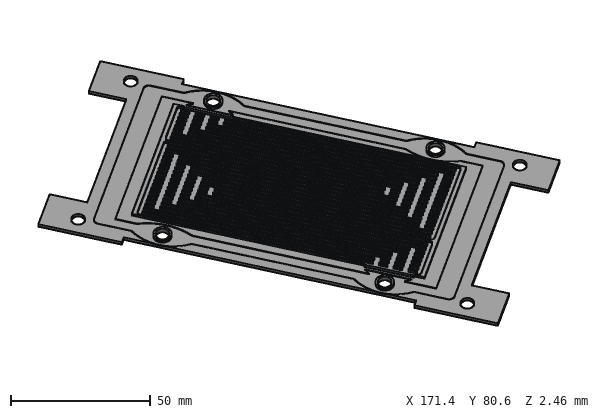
import cadquery as cq

PLATE_LENGTH = 171.36
PLATE_WIDTH = 80.64
TOTAL_HEIGHT = 2.46
BASE_THICKNESS = 1.48

END_NOTCH_HALF_WIDTH = 25.5
END_NOTCH_X = 71.68
SIDE_STEP_X = 54.5
SIDE_STEP_Y = 37.9
TAB_HOLE_DIAMETER = 5.04
TAB_HOLE_X = 72.55
TAB_HOLE_Y = 34.16

PORT_X = 41.44
PORT_Y = 33.04
PORT_DIAMETER = 5.04
COLLAR_DIAMETER = 6.72
COLLAR_TOP = 2.0

GROOVE_DEPTH = 0.4
GROOVE_FLOOR = BASE_THICKNESS - GROOVE_DEPTH
GROOVE_OUTER_X = 67.2
GROOVE_OUTER_Y = 34.16
GROOVE_INNER_X = 59.84
GROOVE_INNER_Y = 30.3
GROOVE_CORNER_RADIUS = 2.0
EYE_OUTER_HEIGHT = 4.8
EYE_INNER_HEIGHT = 5.0
EYE_OUTER_HALF_CHORD = 11.2
EYE_INNER_HALF_CHORD = 10.35

POCKET_NEAR_HALF_WIDTH = 6.6
POCKET_FAR_HALF_WIDTH = 8.75
POCKET_FAR_Y = 28.7
SLOT_HALF_LENGTH = 9.25
SLOT_OUTER_Y = 27.6

FIELD_LENGTH = 109.2
FIELD_WIDTH = 54.4
BASIN_LENGTH = 105.8
BASIN_WIDTH = 53.3
BASIN_CORNER_RADIUS = 1.0

RIB_COUNT = 27
RIB_PITCH = 1.944
RIB_WIDTH = 0.76
RIB_END_X = 51.22
LAST_RIB = RIB_COUNT - 1
FIRST_SEPARATOR = 8
SECOND_SEPARATOR = LAST_RIB - FIRST_SEPARATOR

BAR_LENGTH = 3.2
BAR_PITCH = 5.47
RIBS_PER_BAR_STEP = 2


def box(x_min, x_max, y_min, y_max, z_min, z_max):
    """Axis-aligned block between the given limits."""
    size = (x_max - x_min, y_max - y_min, z_max - z_min)
    return cq.Workplane("XY").box(*size, centered=False).translate((x_min, y_min, z_min))


def centred_block(length, width, z_min, z_max):
    """Block centred on the Z axis between two heights."""
    return box(-length / 2, length / 2, -width / 2, width / 2, z_min, z_max)


def four_cylinders(x, y, diameter, z_min, z_max):
    """Upright cylinders at the four points (+-x, +-y)."""
    return (
        cq.Workplane("XY", origin=(0, 0, z_min))
        .rect(2 * x, 2 * y, forConstruction=True)
        .vertices()
        .circle(diameter / 2)
        .extrude(z_max - z_min)
    )


def with_half_turn_copy(feature):
    """The feature together with its copy turned half a turn about Z."""
    return feature.union(feature.rotate((0, 0, 0), (0, 0, 1), 180))


def base_plate():
    """Flat plate with a tab at each corner and a hole in each tab."""
    end_notch = box(
        END_NOTCH_X, PLATE_LENGTH / 2, -END_NOTCH_HALF_WIDTH, END_NOTCH_HALF_WIDTH, 0, BASE_THICKNESS
    )
    side_step = box(-SIDE_STEP_X, SIDE_STEP_X, SIDE_STEP_Y, PLATE_WIDTH / 2, 0, BASE_THICKNESS)
    blank = centred_block(PLATE_LENGTH, PLATE_WIDTH, 0, BASE_THICKNESS)
    blank = blank.cut(with_half_turn_copy(end_notch)).cut(with_half_turn_copy(side_step))
    return blank.cut(four_cylinders(TAB_HOLE_X, TAB_HOLE_Y, TAB_HOLE_DIAMETER, 0, BASE_THICKNESS))


def eye_segment(port_x, chord_y, half_chord, apex_y):
    """Groove area between a chord parallel to X and the arc bulging from it to apex_y."""
    return (
        cq.Workplane("XY", origin=(port_x, 0, GROOVE_FLOOR))
        .moveTo(-half_chord, chord_y)
        .threePointArc((0, apex_y), (half_chord, chord_y))
        .close()
        .extrude(GROOVE_DEPTH)
    )


def feed_pocket():
    """Dovetail pocket leading from the -X, +Y port towards the slot."""
    return (
        cq.Workplane("XY", origin=(-PORT_X, 0, GROOVE_FLOOR))
        .moveTo(-POCKET_NEAR_HALF_WIDTH, GROOVE_INNER_Y)
        .lineTo(POCKET_NEAR_HALF_WIDTH, GROOVE_INNER_Y)
        .lineTo(POCKET_FAR_HALF_WIDTH, POCKET_FAR_Y)
        .lineTo(-POCKET_FAR_HALF_WIDTH, POCKET_FAR_Y)
        .close()
        .extrude(GROOVE_DEPTH)
    )


def feed_slot():
    """Through slot between the -X, +Y port and the flow basin."""
    x_min = -PORT_X - SLOT_HALF_LENGTH
    x_max = -PORT_X + SLOT_HALF_LENGTH
    return box(x_min, x_max, BASIN_WIDTH / 2, SLOT_OUTER_Y, 0, TOTAL_HEIGHT)


def gasket_groove():
    """Cutter for the gasket groove with its eyes and feed pockets."""
    island = centred_block(2 * GROOVE_INNER_X, 2 * GROOVE_INNER_Y, GROOVE_FLOOR, BASE_THICKNESS)
    groove = centred_block(2 * GROOVE_OUTER_X, 2 * GROOVE_OUTER_Y, GROOVE_FLOOR, BASE_THICKNESS)
    groove = groove.edges("|Z").fillet(GROOVE_CORNER_RADIUS).cut(island)
    for port_x in (-PORT_X, PORT_X):
        outer_eye = eye_segment(port_x, GROOVE_OUTER_Y, EYE_OUTER_HALF_CHORD, PORT_Y + EYE_OUTER_HEIGHT)
        groove = groove.union(with_half_turn_copy(outer_eye))
    inner_eye = eye_segment(PORT_X, GROOVE_INNER_Y, EYE_INNER_HALF_CHORD, PORT_Y - EYE_INNER_HEIGHT)
    groove = groove.union(with_half_turn_copy(inner_eye))
    return groove.union(with_half_turn_copy(feed_pocket()))


def rib_y(rib):
    """Y of a rib's centre line."""
    return (LAST_RIB / 2 - rib) * RIB_PITCH


def rib_piece(rib, x_min, x_max):
    """Straight piece of a rib, as a solid."""
    y_min = rib_y(rib) - RIB_WIDTH / 2
    return box(x_min, x_max, y_min, y_min + RIB_WIDTH, BASE_THICKNESS, TOTAL_HEIGHT).val()


def left_bar_count(rib):
    """Number of short bars at the -X end of a rib; it steps up towards the middle of a turn."""
    if rib < FIRST_SEPARATOR:
        ribs_to_turn_end = FIRST_SEPARATOR - 1 - rib
    else:
        ribs_to_turn_end = min(rib - FIRST_SEPARATOR - 1, LAST_RIB - rib)
    return max(ribs_to_turn_end, 0) // RIBS_PER_BAR_STEP


def flow_ribs():
    """All ribs, with their short bars at both ends, as one compound."""
    pieces = []
    for rib in range(RIB_COUNT):
        left_bars = left_bar_count(rib)
        right_bars = left_bar_count(LAST_RIB - rib)
        for bar in range(left_bars):
            bar_start = -RIB_END_X + bar * BAR_PITCH
            pieces.append(rib_piece(rib, bar_start, bar_start + BAR_LENGTH))
        for bar in range(right_bars):
            bar_end = RIB_END_X - bar * BAR_PITCH
            pieces.append(rib_piece(rib, bar_end - BAR_LENGTH, bar_end))
        x_min = -RIB_END_X + left_bars * BAR_PITCH
        x_max = RIB_END_X - right_bars * BAR_PITCH
        if rib == FIRST_SEPARATOR:
            x_min = -BASIN_LENGTH / 2
        if rib == SECOND_SEPARATOR:
            x_max = BASIN_LENGTH / 2
        pieces.append(rib_piece(rib, x_min, x_max))
    return cq.Workplane(cq.Compound.makeCompound(pieces))


def basin_zone(x_min, x_max, y_min, y_max):
    """Sunken area with rounded corners."""
    zone = box(x_min, x_max, y_min, y_max, BASE_THICKNESS, TOTAL_HEIGHT)
    return zone.edges("|Z").fillet(BASIN_CORNER_RADIUS)


def flow_channels():
    """Cutter for the serpentine channels: the sunken basin without the ribs."""
    wall_x = BASIN_LENGTH / 2
    wall_y = BASIN_WIDTH / 2
    separator_y = rib_y(FIRST_SEPARATOR)
    inlet_zone = basin_zone(-wall_x, RIB_END_X, separator_y + RIB_WIDTH / 2, wall_y)
    turn_zone = basin_zone(-wall_x, RIB_END_X, -wall_y, separator_y - RIB_WIDTH / 2)
    channels = with_half_turn_copy(inlet_zone).union(with_half_turn_copy(turn_zone))
    return channels.cut(flow_ribs())


plate = base_plate().cut(gasket_groove())
plate = plate.union(four_cylinders(PORT_X, PORT_Y, COLLAR_DIAMETER, GROOVE_FLOOR, COLLAR_TOP))
plate = plate.cut(four_cylinders(PORT_X, PORT_Y, PORT_DIAMETER, 0, COLLAR_TOP))
plate = plate.union(centred_block(FIELD_LENGTH, FIELD_WIDTH, BASE_THICKNESS, TOTAL_HEIGHT))
plate = plate.cut(flow_channels())
result = plate.cut(with_half_turn_copy(feed_slot()))